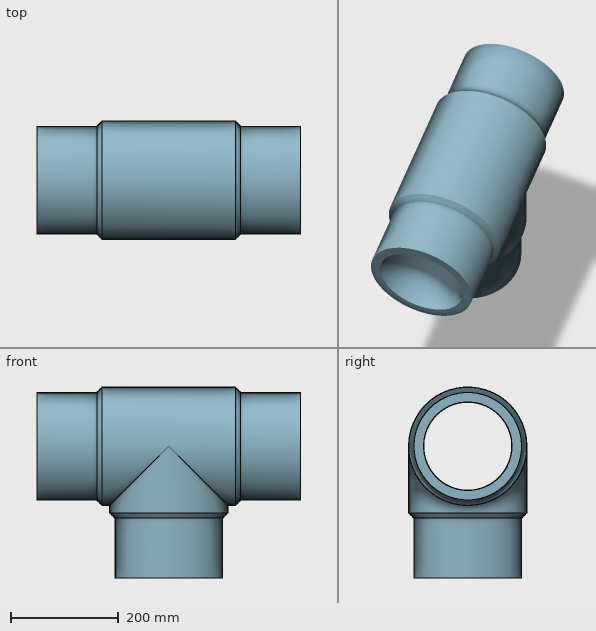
import cadquery as cq

run_length = 490.0
pipe_diameter = 200.0
body_diameter = 220.0
bore_diameter = 163.5
spigot_length = 111.0

arm_length = run_length / 2
body_reach = arm_length - spigot_length
body_chamfer = (body_diameter - pipe_diameter) / 2


def straight_fitting():
    """Hollow straight pipe along Z with a thick, chamfered middle."""
    body = (
        cq.Workplane("XY", origin=(0, 0, -body_reach))
        .circle(body_diameter / 2)
        .extrude(2 * body_reach)
        .faces("<Z or >Z")
        .chamfer(body_chamfer)
    )
    pipe_end = cq.Workplane("XY", origin=(0, 0, -arm_length))
    pipe = pipe_end.circle(pipe_diameter / 2).extrude(run_length)
    bore = pipe_end.circle(bore_diameter / 2).extrude(run_length)
    return body.union(pipe).cut(bore)


def mitre_wedge():
    """Prism below the two 45 degree planes where run and branch meet."""
    corners = [(0, 0), (arm_length, -arm_length), (-arm_length, -arm_length)]
    return cq.Workplane("XZ", origin=(0, body_diameter, 0)).polyline(corners).close().extrude(2 * body_diameter)


run = straight_fitting().rotate((0, 0, 0), (0, 1, 0), 90).cut(mitre_wedge())
branch = straight_fitting().intersect(mitre_wedge())

result = run.union(branch)